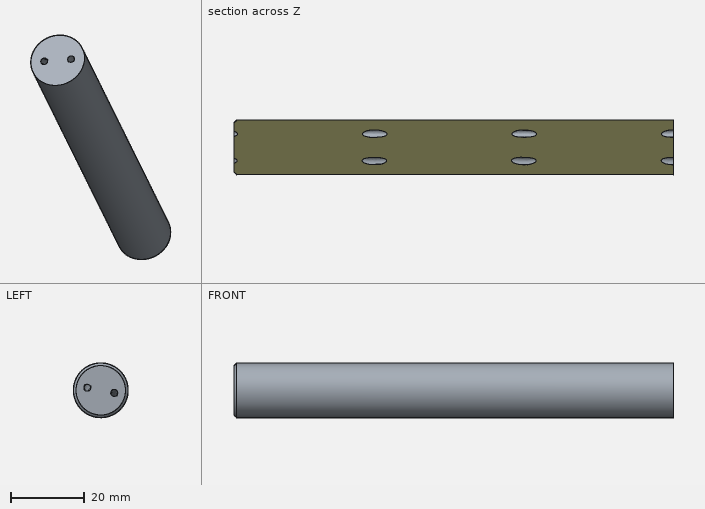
import cadquery as cq
import math

ROD_LENGTH = 120.0
ROD_DIAMETER = 15.0
END_CHAMFER = 0.75

CHANNEL_COUNT = 2
CHANNEL_DIAMETER = 1.9
CHANNEL_CIRCLE_DIAMETER = ROD_DIAMETER / 2

HELIX_ANGLE = 30.0
HELIX_PITCH = math.pi * ROD_DIAMETER / math.tan(math.radians(HELIX_ANGLE))
FULL_TWIST = 360.0 * ROD_LENGTH / HELIX_PITCH

START_ANGLE = -FULL_TWIST


def rod_start_plane():
    """YZ plane of the -X end face, with its normal along +X."""
    return cq.Workplane("YZ", origin=(-ROD_LENGTH, 0, 0))


def make_rod():
    rod = rod_start_plane().circle(ROD_DIAMETER / 2).extrude(ROD_LENGTH)
    return rod.faces("<X").chamfer(END_CHAMFER)


def make_channel(index):
    """One helical channel; the channels are spaced evenly about the rod axis."""
    angle = math.radians(START_ANGLE + index * 360.0 / CHANNEL_COUNT)
    center_y = CHANNEL_CIRCLE_DIAMETER / 2 * math.cos(angle)
    center_z = CHANNEL_CIRCLE_DIAMETER / 2 * math.sin(angle)
    return (
        rod_start_plane()
        .moveTo(center_y, center_z)
        .circle(CHANNEL_DIAMETER / 2)
        .twistExtrude(ROD_LENGTH, FULL_TWIST)
    )


result = make_rod()
for channel_index in range(CHANNEL_COUNT):
    result = result.cut(make_channel(channel_index))